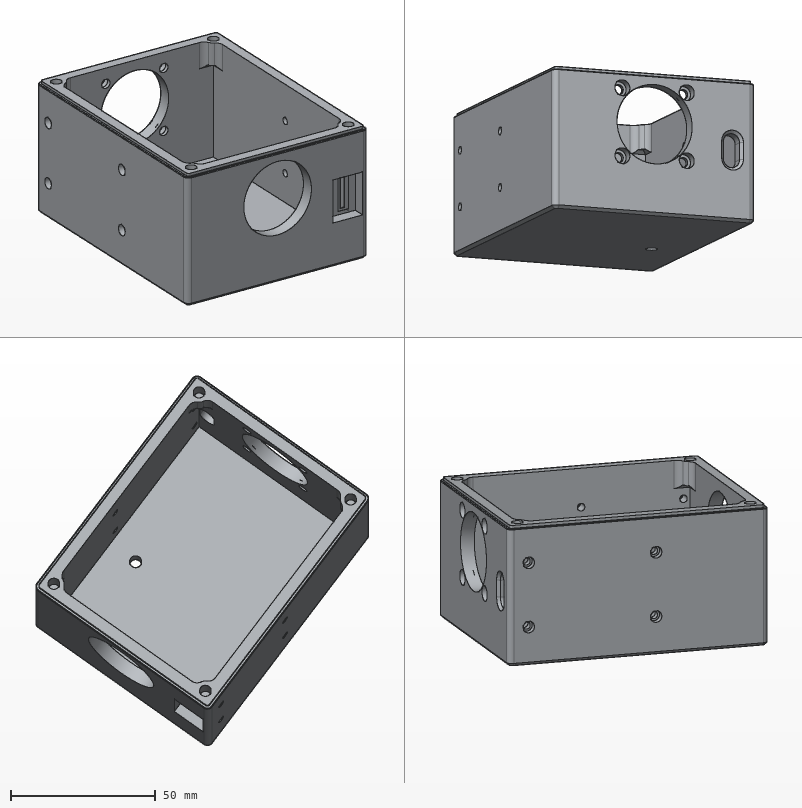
import cadquery as cq
import math

length = 95.0
width = 75.0
height = 50.0
wall = 5.0
floor_thickness = 5.0
corner_radius = 2.0
bottom_chamfer = 1.0
lip_height = 1.0
lip_inset = 1.0
shoulder_chamfer = 0.3

cavity_length = length - 2 * wall
cavity_width = width - 2 * wall
inner_x = cavity_length / 2
inner_y = cavity_width / 2
mid_height = height / 2

post_height = 10.0
post_gusset = 1.3
post_radius = 3.5
post_blend_radius = 3.0
lid_hole_diameter = 4.0
lid_hole_depth = 8.0

port_height = 32.0
port_diameter = 27.9
port_screw_offset = 12.0
port_screw_diameter = 3.4
port_screw_head_diameter = 5.5
port_screw_head_depth = 3.5

slot_y = -29.0
slot_width = 6.0
slot_height = 12.0
slot_chamfer = 1.0

window_y = 29.8
window_width = 1.8
recess_inner_edge_y = 28.2
recess_depth = 0.1
web_thickness = 0.3
pocket_y = -slot_y
pocket_width = 12.35
pocket_height = 16.3

front_hole_xs = (-40.0, 6.5)
front_hole_pitch_z = 22.9
front_hole_diameter = 2.7
front_head_diameter = 4.1
front_head_depth = 2.5
rear_hole_xs = (2.8, 40.1)
rear_hole_pitch_z = 19.9
rear_holes_height = 26.1
rear_hole_diameter = 2.7

floor_hole_x = 9.5
floor_hole_y = -21.6
floor_hole_diameter = 4.2


def box_between(x_range, y_range, z_range):
    """Axis-aligned box spanning the given ranges."""
    sizes = [high - low for low, high in (x_range, y_range, z_range)]
    return cq.Workplane().box(*sizes, centered=False).translate((x_range[0], y_range[0], z_range[0]))


def rod_x(x, y, z, diameter, depth):
    """Cylinder running from x towards +X."""
    return cq.Workplane("YZ", origin=(x, y, z)).circle(diameter / 2).extrude(depth)


def outer_body():
    """Rounded block with a raised lip set in from a chamfered shoulder."""
    shoulder = height - lip_height
    body = cq.Workplane().box(length, width, shoulder, centered=(True, True, False))
    body = body.edges("|Z").fillet(corner_radius)
    body = body.faces("<Z").chamfer(bottom_chamfer)
    body = body.faces(">Z").chamfer(shoulder_chamfer)
    lip = (
        cq.Workplane(origin=(0, 0, shoulder))
        .rect(length - 2 * lip_inset, width - 2 * lip_inset)
        .extrude(lip_height)
        .edges("|Z")
        .fillet(corner_radius - lip_inset)
    )
    return body.union(lip)


def cavity():
    """Square-cornered room, open at the top."""
    return box_between((-inner_x, inner_x), (-inner_y, inner_y), (floor_thickness, height))


def room_below_posts():
    """Lower part of the cavity, sloped in at the top to leave gussets under the posts."""
    top = height - post_height + post_gusset
    room = box_between((-inner_x, inner_x), (-inner_y, inner_y), (floor_thickness, top))
    return room.faces(">Z").chamfer(post_gusset)


def corner_post(side_x, side_y):
    """Round boss centred on a cavity corner, blended into both walls by concave arcs."""
    blend_centre = math.sqrt(post_radius**2 + 2 * post_radius * post_blend_radius)
    touch_angle = math.atan2(post_blend_radius, blend_centre)
    blend_mid_angle = (touch_angle - math.pi / 2) / 2

    def on_boss(angle):
        return post_radius * math.cos(angle), post_radius * math.sin(angle)

    blend_mid = (
        blend_centre - post_blend_radius * math.cos(blend_mid_angle),
        post_blend_radius + post_blend_radius * math.sin(blend_mid_angle),
    )

    def place(point):
        """Measure a point inwards from the cavity corner."""
        return side_x * (inner_x - point[0]), side_y * (inner_y - point[1])

    overlap = wall / 2
    return (
        cq.Workplane(origin=(0, 0, height - post_height))
        .moveTo(*place((-overlap, -overlap)))
        .lineTo(*place((blend_centre, -overlap)))
        .lineTo(*place((blend_centre, 0)))
        .threePointArc(place(blend_mid), place(on_boss(touch_angle)))
        .threePointArc(place(on_boss(math.pi / 4)), place(on_boss(math.pi / 2 - touch_angle)))
        .threePointArc(place(blend_mid[::-1]), place((0, blend_centre)))
        .lineTo(*place((-overlap, blend_centre)))
        .close()
        .extrude(post_height)
    )


def lid_holes():
    return (
        cq.Workplane(origin=(0, 0, height - lid_hole_depth))
        .rect(cavity_length, cavity_width, forConstruction=True)
        .vertices()
        .circle(lid_hole_diameter / 2)
        .extrude(lid_hole_depth)
    )


def port_cuts():
    cuts = rod_x(-length / 2, 0, port_height, port_diameter, length)
    for side_y in (-port_screw_offset, port_screw_offset):
        for side_z in (-port_screw_offset, port_screw_offset):
            z = port_height + side_z
            cuts = cuts.union(rod_x(-length / 2, side_y, z, port_screw_diameter, wall))
            cuts = cuts.union(rod_x(-length / 2, side_y, z, port_screw_head_diameter, port_screw_head_depth))
    return cuts


def slot_cut():
    """Upright slot whose outer rim flares by the chamfer."""
    outside = cq.Workplane("YZ", origin=(-length / 2, slot_y, mid_height))
    slot = outside.slot2D(slot_height, slot_width, 90).extrude(wall)
    flare = (
        outside.slot2D(slot_height + 2 * slot_chamfer, slot_width + 2 * slot_chamfer, 90)
        .extrude(slot_chamfer, taper=45)
    )
    return slot.union(flare)


def window_cut():
    half_width = window_width / 2
    half_height = slot_height / 2
    opening = box_between(
        (inner_x, length / 2),
        (window_y - half_width, window_y + half_width),
        (mid_height - half_height, mid_height + half_height),
    )
    recess_half_height = half_height + slot_chamfer
    recess = box_between(
        (inner_x, inner_x + recess_depth),
        (recess_inner_edge_y, inner_y),
        (mid_height - recess_half_height, mid_height + recess_half_height),
    )
    pocket = box_between(
        (inner_x + recess_depth + web_thickness, length / 2),
        (pocket_y - pocket_width / 2, pocket_y + pocket_width / 2),
        (mid_height - pocket_height / 2, mid_height + pocket_height / 2),
    )
    return opening.union(recess).union(pocket)


def front_holes():
    """Counterbored holes through the -Y wall."""
    cuts = cq.Workplane()
    for x in front_hole_xs:
        for z in (mid_height - front_hole_pitch_z / 2, mid_height + front_hole_pitch_z / 2):
            outside = cq.Workplane("XZ", origin=(x, -width / 2, z))
            cuts = cuts.add(outside.circle(front_hole_diameter / 2).extrude(-wall))
            cuts = cuts.add(outside.circle(front_head_diameter / 2).extrude(-front_head_depth))
    return cuts.combine()


def rear_holes():
    """Plain holes through the +Y wall."""
    cuts = cq.Workplane()
    for x in rear_hole_xs:
        for z in (rear_holes_height - rear_hole_pitch_z / 2, rear_holes_height + rear_hole_pitch_z / 2):
            inside = cq.Workplane("XZ", origin=(x, inner_y, z))
            cuts = cuts.add(inside.circle(rear_hole_diameter / 2).extrude(-wall))
    return cuts.combine()


def floor_hole():
    centre = cq.Workplane(origin=(floor_hole_x, floor_hole_y, 0))
    return centre.circle(floor_hole_diameter / 2).extrude(floor_thickness)


result = outer_body().cut(cavity())
for side_x in (-1, 1):
    for side_y in (-1, 1):
        result = result.union(corner_post(side_x, side_y))
for cut in (
    room_below_posts(),
    lid_holes(),
    port_cuts(),
    slot_cut(),
    window_cut(),
    front_holes(),
    rear_holes(),
    floor_hole(),
):
    result = result.cut(cut)